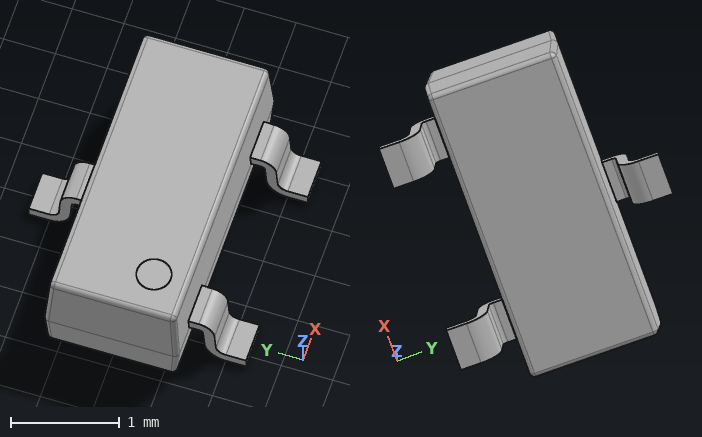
import cadquery as cq
import math

body_length = 2.9
body_width = 1.3
body_top = 1.02
body_bottom = 0.05
parting_height = 0.423
draft_angle = 4.0
edge_radius = 0.05

mark_radius = 0.162
mark_depth = 0.003
mark_x = -1.005
mark_y = -0.275

lead_span = 2.4
lead_width = 0.4
lead_thickness = 0.11
lead_offset = 0.914
foot_length = 0.197
leg_angle = 86.0
upper_bend_radius = 0.1
lower_bend_radius = 0.15
lead_embed = 0.175


def body_half(height):
    """Drafted half of the body; a negative height builds downwards from the parting plane."""
    block = cq.Workplane("XY").rect(body_length, body_width)
    block = block.extrude(height, taper=draft_angle)
    end_face = ">Z" if height > 0 else "<Z"
    block = block.edges("not #Z").fillet(edge_radius)
    block = block.faces(end_face).edges().fillet(edge_radius)
    return block.translate((0, 0, parting_height))


def make_body():
    upper = body_half(body_top - parting_height)
    lower = body_half(body_bottom - parting_height)
    mark = (
        cq.Workplane("XY", origin=(mark_x, mark_y, body_top - mark_depth))
        .circle(mark_radius)
        .extrude(mark_depth)
    )
    return upper.union(lower).cut(mark)


def make_lead(x):
    """Lead leaving the body towards -Y, centred on the given X."""
    angle = math.radians(leg_angle)
    foot_height = lead_thickness / 2
    arm_height = parting_height + lead_thickness / 2

    bend_radii = upper_bend_radius + lower_bend_radius
    bend_drop = bend_radii * (1 - math.cos(angle))
    leg_drop = arm_height - foot_height - bend_drop
    leg_run = leg_drop / math.tan(angle)

    tip_y = -lead_span / 2
    foot_end_y = tip_y + foot_length
    leg_bottom_y = foot_end_y + lower_bend_radius * math.sin(angle)
    leg_bottom_z = foot_height + lower_bend_radius * (1 - math.cos(angle))
    leg_top_y = leg_bottom_y + leg_run
    leg_top_z = leg_bottom_z + leg_drop
    arm_start_y = leg_top_y + upper_bend_radius * math.sin(angle)
    arm_end_y = -body_width / 2 + lead_embed

    centreline = (
        cq.Workplane("YZ", origin=(x, 0, 0))
        .moveTo(tip_y, foot_height)
        .lineTo(foot_end_y, foot_height)
        .tangentArcPoint((leg_bottom_y, leg_bottom_z), relative=False)
        .lineTo(leg_top_y, leg_top_z)
        .tangentArcPoint((arm_start_y, arm_height), relative=False)
        .lineTo(arm_end_y, arm_height)
    )
    section = cq.Workplane("XZ", origin=(x, tip_y, foot_height)).rect(lead_width, lead_thickness)
    return section.sweep(centreline)


result = make_body()
for lead_x in (-lead_offset, lead_offset):
    result = result.union(make_lead(lead_x))
single_lead = make_lead(0).rotate((0, 0, 0), (0, 0, 1), 180)
result = result.union(single_lead)